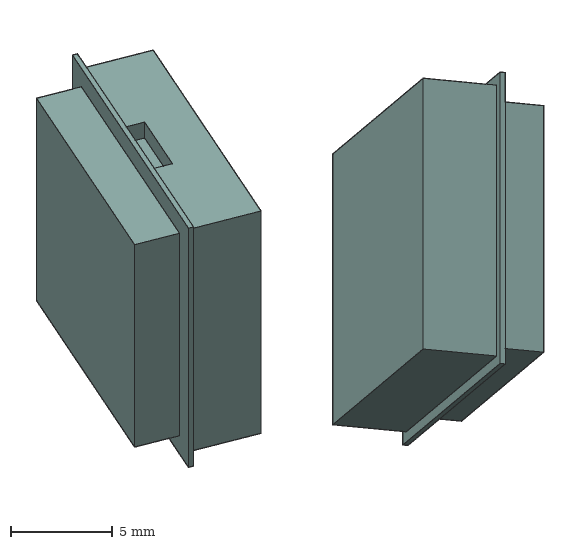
import cadquery as cq

flange_side = 15.01
body_side = 13.95
face_side = 12.7

overall_depth = 6.5
face_depth = 2.4
flange_thickness = 0.27
body_depth = overall_depth - face_depth - flange_thickness

recess_width = 3.6
recess_length = 1.23
recess_depth = 1.0

flange_front = face_depth
body_front = flange_front + flange_thickness


def square_block(side, depth, front):
    """Square block centred on the Y axis, running back from y = front."""
    return cq.Workplane("XY").box(side, depth, side).translate((0, front + depth / 2, 0))


def top_recess():
    """Rectangular pocket cut down from the top of the body, just behind the flange."""
    return cq.Workplane("XY").box(recess_width, recess_length, recess_depth).translate(
        (0, body_front + recess_length / 2, (body_side - recess_depth) / 2)
    )


face = square_block(face_side, face_depth, 0)
flange = square_block(flange_side, flange_thickness, flange_front)
body = square_block(body_side, body_depth, body_front).cut(top_recess())

result = face.union(flange).union(body)